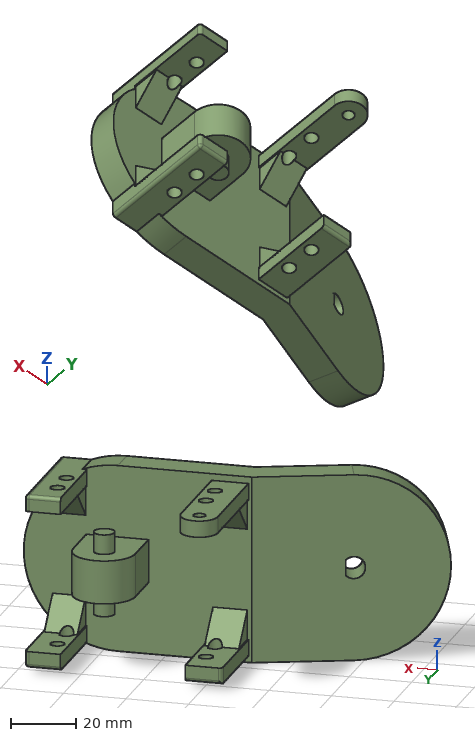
import cadquery as cq
import math

total_length = 130.6
plate_width = 60.0
plate_thickness = 10.2
end_radius = plate_width / 2
bend_angle = 20.0
bend_x = 59.5
tilted_length = 59.7
flat_end_x = total_length - end_radius
bend_shift = plate_thickness * math.tan(math.radians(bend_angle / 2))

d_hole_radius = 3.5
d_hole_flat = 2.5

arm_thickness = 5.2
arm_outer_z = 27.8
arm_inner_z = arm_outer_z - arm_thickness
hole_heights = (20.0, 30.2)
arm_hole_diameter = 4.5

long_arm_x = 64.6
long_arm_radius = 5.9
long_arm_tip_y = 50.8
long_arm_eye_y = long_arm_tip_y - long_arm_radius
eye_diameter = 3.8
long_arm_hole_x = 66.7

short_arm_left_x = 110.3
short_arm_right_x = 121.7
short_arm_tip_y = 40.1
short_arm_hole_x = 114.1
corner_radius = 1.2
root_depth = 7.8

gusset_leg = 9.5
gusset_inset = 0.4

lug_x = flat_end_x
lug_radius = 9.9
lug_axis_y = 25.1
lug_width = 13.8
pin_diameter = 6.5
pin_length = 26.4


def z_block(outline, bottom_z, top_z):
    """Extrude an XY outline between two Z levels."""
    return outline.extrude(top_z - bottom_z).translate((0, 0, bottom_z))


def z_cylinder(x, y, diameter, bottom_z, top_z):
    """Cylinder along Z."""
    return z_block(cq.Workplane("XY").center(x, y).circle(diameter / 2), bottom_z, top_z)


def round_ended_slab(straight_length):
    """Slab starting at X = 0 that ends in a half circle on +X."""
    return (
        cq.Workplane("XZ")
        .moveTo(0, -end_radius)
        .lineTo(straight_length, -end_radius)
        .threePointArc((straight_length + end_radius, 0), (straight_length, end_radius))
        .lineTo(0, end_radius)
        .close()
        .extrude(-plate_thickness)
    )


def mitre_slab(slab):
    """Extend the slab's start to the plane that halves the bend."""
    wedge_points = [(0, 0), (0, plate_thickness), (-bend_shift, plate_thickness)]
    wedge_outline = cq.Workplane("XY").polyline(wedge_points).close()
    return slab.union(z_block(wedge_outline, -end_radius, end_radius))


def make_tilted_part():
    """Tilted part, built along +X, then mirrored to -X and turned about the bend."""
    straight_length = tilted_length - end_radius
    slab = round_ended_slab(straight_length)
    d_hole = (
        cq.Workplane("XZ")
        .center(straight_length, 0)
        .circle(d_hole_radius)
        .extrude(-plate_thickness)
    )
    keep = cq.Workplane("XY").box(
        d_hole_flat + d_hole_radius, plate_thickness, 2 * d_hole_radius, centered=(False, False, True)
    ).translate((straight_length - d_hole_flat, 0, 0))
    slab = slab.cut(d_hole.intersect(keep))
    return (
        mitre_slab(slab)
        .mirror("YZ")
        .rotate((0, 0, 0), (0, 0, 1), bend_angle)
        .translate((bend_x, 0, 0))
    )


def make_plate():
    flat_part = mitre_slab(round_ended_slab(flat_end_x - bend_x)).translate((bend_x, 0, 0))
    return flat_part.union(make_tilted_part())


def drill_arm(arm, x):
    for y in hole_heights:
        arm = arm.cut(z_cylinder(x, y, arm_hole_diameter, -arm_outer_z, arm_outer_z))
    return arm


def make_gusset(left_x, right_x):
    """Triangular web between the plate and the inner face of an upper arm, set in from its sides."""
    return (
        cq.Workplane("YZ")
        .moveTo(plate_thickness, arm_inner_z)
        .lineTo(plate_thickness + gusset_leg, arm_inner_z)
        .lineTo(plate_thickness, arm_inner_z - gusset_leg)
        .close()
        .extrude(right_x - left_x - 2 * gusset_inset)
        .translate((left_x + gusset_inset, 0, 0))
    )


def make_long_arm():
    """Upper left arm with a rounded, drilled tip."""
    left_x = long_arm_x - long_arm_radius
    right_x = long_arm_x + long_arm_radius
    outline = (
        cq.Workplane("XY")
        .moveTo(left_x, plate_thickness)
        .lineTo(right_x, plate_thickness)
        .lineTo(right_x, long_arm_eye_y)
        .threePointArc((long_arm_x, long_arm_tip_y), (left_x, long_arm_eye_y))
        .close()
    )
    arm = z_block(outline, arm_inner_z, arm_outer_z)
    arm = arm.cut(z_cylinder(long_arm_x, long_arm_eye_y, eye_diameter, arm_inner_z, arm_outer_z))
    arm = arm.union(make_gusset(left_x, right_x))
    return drill_arm(arm, long_arm_hole_x)


def arm_box(left_x, right_x, start_y, tip_y, depth):
    """Box reaching inward by `depth` from the outer face of an upper arm."""
    box = cq.Workplane("XY").box(right_x - left_x, tip_y - start_y, depth, centered=False)
    return box.translate((left_x, start_y, arm_outer_z - depth))


def make_right_arm():
    """Upper right arm; its root runs through the plate and sticks out past the round end."""
    left_x = short_arm_left_x
    right_x = short_arm_right_x
    arm = arm_box(left_x, right_x, 0, short_arm_tip_y, arm_thickness)
    arm = arm.union(arm_box(left_x, right_x, 0, plate_thickness, root_depth))
    top_edges = arm.faces(">Z").edges(">X or >Y")
    tip_corner = arm.edges("|Z and >X and >Y")
    arm = arm.newObject(top_edges.vals() + tip_corner.vals()).fillet(corner_radius)
    arm = arm.union(make_gusset(left_x, right_x))
    return drill_arm(arm, short_arm_hole_x)


def make_lower_left_arm():
    """Short arm below the long arm, with its tip rounded; built on the upper side and mirrored."""
    left_x = long_arm_x - long_arm_radius
    right_x = long_arm_x + long_arm_radius
    arm = arm_box(left_x, right_x, plate_thickness, short_arm_tip_y, arm_thickness)
    tip_edge = arm.faces(">Z").edges(">Y")
    tip_corner = arm.edges("|Z and <X and >Y")
    arm = arm.newObject(tip_edge.vals() + tip_corner.vals()).fillet(corner_radius)
    arm = arm.union(make_gusset(left_x, right_x))
    return drill_arm(arm, long_arm_hole_x).mirror("XY")


def make_lug():
    left_x = lug_x - lug_radius
    right_x = lug_x + lug_radius
    outline = (
        cq.Workplane("XY")
        .moveTo(left_x, plate_thickness)
        .lineTo(right_x, plate_thickness)
        .lineTo(right_x, lug_axis_y)
        .threePointArc((lug_x, lug_axis_y + lug_radius), (left_x, lug_axis_y))
        .close()
    )
    return z_block(outline, -lug_width / 2, lug_width / 2)


def make_pin():
    return z_cylinder(lug_x, lug_axis_y, pin_diameter, -pin_length / 2, pin_length / 2)


def make_pedal():
    right_arm = make_right_arm()
    pedal = make_plate().union(make_lug())
    for arm in (make_long_arm(), make_lower_left_arm(), right_arm, right_arm.mirror("XY")):
        pedal = pedal.union(arm)
    return pedal.cut(make_pin())


pedal = make_pedal()
pin = make_pin()
result = cq.Compound.makeCompound([pedal.val(), pin.val()])